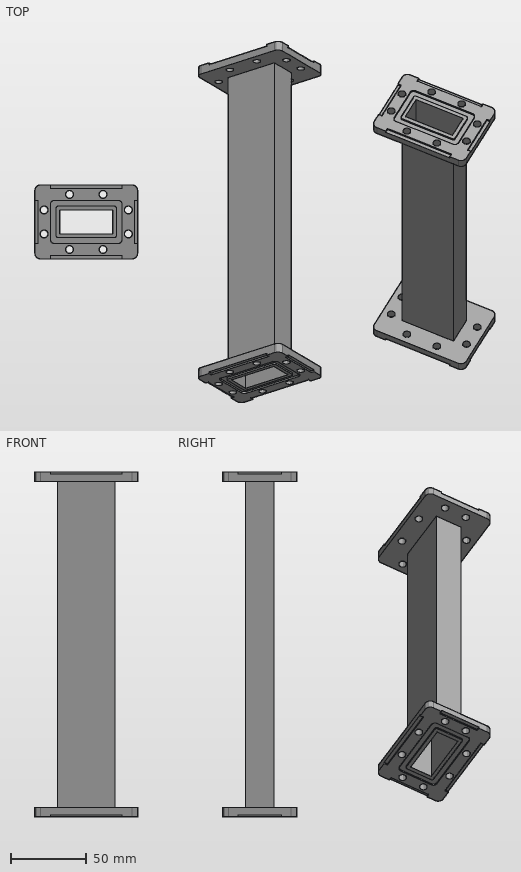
import cadquery as cq

LENGTH = 228.6

TUBE_X = 38.1
TUBE_Y = 19.05
BORE_X = 34.85
BORE_Y = 15.8

FLANGE_X = 68.25
FLANGE_Y = 49.2
FLANGE_THICKNESS = 6.4
FLANGE_CORNER_RADIUS = 3.9

GROOVE_OUTER_X = 47.4
GROOVE_OUTER_Y = 28.6
GROOVE_INNER_X = 39.9
GROOVE_INNER_Y = 20.9
GROOVE_DEPTH = 1.27
GROOVE_OUTER_RADIUS = 2.6
GROOVE_INNER_RADIUS = 1.3

STEP_WIDTH_LONG_EDGE = 2.5
STEP_WIDTH_SHORT_EDGE = 2.3
STEP_DEPTH = 1.27

HOLE_DIAMETER = 5.03
LONG_EDGE_HOLE_X = 11.1
LONG_EDGE_HOLE_Y = 18.25
SHORT_EDGE_HOLE_X = 27.9
SHORT_EDGE_HOLE_Y = 7.95


def rounded_block(size_x, size_y, height, radius):
    """Block standing on Z = 0 with rounded vertical edges."""
    block = cq.Workplane("XY").box(size_x, size_y, height, centered=(True, True, False))
    return block.edges("|Z").fillet(radius)


def gasket_groove():
    """Ring-shaped groove volume, with its floor at Z = 0."""
    outer = rounded_block(GROOVE_OUTER_X, GROOVE_OUTER_Y, GROOVE_DEPTH, GROOVE_OUTER_RADIUS)
    inner = rounded_block(GROOVE_INNER_X, GROOVE_INNER_Y, GROOVE_DEPTH, GROOVE_INNER_RADIUS)
    return outer.cut(inner)


def edge_steps():
    """Four step volumes centred on the flange edges, with their floors at Z = 0."""
    on_floor = (True, True, False)
    long_step = cq.Workplane("XY").box(GROOVE_OUTER_X, 2 * STEP_WIDTH_LONG_EDGE, STEP_DEPTH, on_floor)
    short_step = cq.Workplane("XY").box(2 * STEP_WIDTH_SHORT_EDGE, GROOVE_OUTER_Y, STEP_DEPTH, on_floor)
    steps = cq.Workplane("XY")
    for side in (-1, 1):
        steps = steps.add(long_step.translate((0, side * FLANGE_Y / 2, 0)))
        steps = steps.add(short_step.translate((side * FLANGE_X / 2, 0, 0)))
    return steps.combine()


def bolt_hole_centres():
    """Centres of the eight bolt holes, symmetric about both flange axes."""
    centres = []
    for side_x in (-1, 1):
        for side_y in (-1, 1):
            centres.append((side_x * LONG_EDGE_HOLE_X, side_y * LONG_EDGE_HOLE_Y))
            centres.append((side_x * SHORT_EDGE_HOLE_X, side_y * SHORT_EDGE_HOLE_Y))
    return centres


def make_flange():
    """Flange with its back on Z = 0 and its mating face upward."""
    flange = rounded_block(FLANGE_X, FLANGE_Y, FLANGE_THICKNESS, FLANGE_CORNER_RADIUS)
    flange = flange.cut(gasket_groove().translate((0, 0, FLANGE_THICKNESS - GROOVE_DEPTH)))
    flange = flange.cut(edge_steps().translate((0, 0, FLANGE_THICKNESS - STEP_DEPTH)))
    holes = cq.Workplane("XY").pushPoints(bolt_hole_centres())
    return flange.cut(holes.circle(HOLE_DIAMETER / 2).extrude(FLANGE_THICKNESS))


top_flange = make_flange().translate((0, 0, LENGTH / 2 - FLANGE_THICKNESS))
bottom_flange = top_flange.mirror("XY")
tube = cq.Workplane("XY").box(TUBE_X, TUBE_Y, LENGTH - 2 * FLANGE_THICKNESS)
bore = cq.Workplane("XY").box(BORE_X, BORE_Y, LENGTH)

result = tube.union(top_flange).union(bottom_flange).cut(bore)